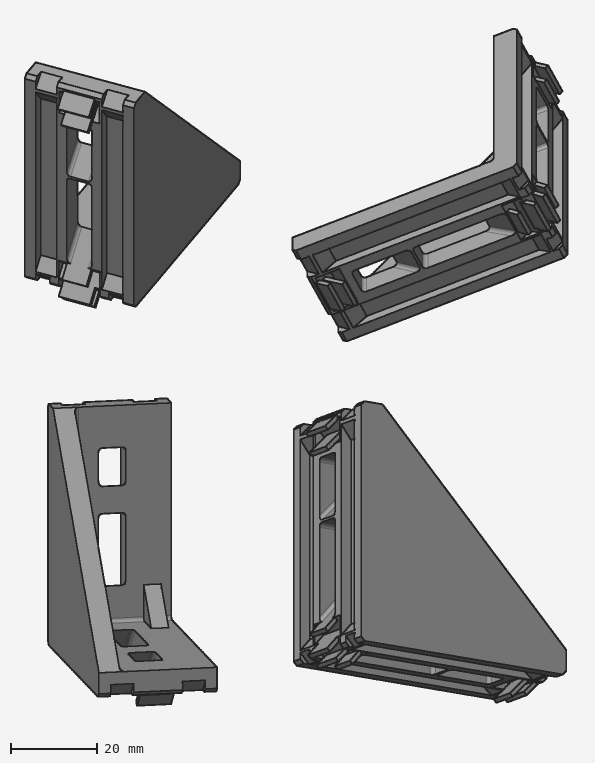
import math

import cadquery as cq

width = 28.0
leg = 57.35
wall = 5.95
rib_thickness = 5.0
corner_radius = 0.95
edge_chamfer = 0.95

gusset_leg = 8.5
gusset_width = 4.1
gusset_x = -9.5

slot_width = 6.5
slot_radius = 0.95
far_slot_start = leg - 10.0
far_slot_end = leg - 19.05
far_slope = 1.0
near_slot_start = leg - 25.6
near_slot_end = leg - 42.75
near_slope = 1.12

groove_x = 8.5
groove_width = 5.4
groove_depth = 2.7
groove_start = 3.0
groove_start_run = 3.0
groove_end = leg - 3.9
groove_end_run = 3.45

free_notch = 3.0
corner_notch = 2.45
corner_notch_width = 3.6
corner_notch_x = groove_x + (groove_width - corner_notch_width) / 2

far_pocket_width = 10.2
far_pocket_top = leg - 1.82
far_pocket_depth = 3.04
far_pocket_bottom = far_pocket_top - 2 * far_pocket_depth
near_pocket_width = 10.6
near_pocket_top = 7.9
near_pocket_drop = 2.18
near_pocket_depth = near_pocket_drop * near_slope
near_pocket_bottom = near_pocket_top - near_pocket_drop - near_pocket_depth * near_slope
corner_cut = 3.0

tab_thickness = 1.1
wide_tab_width = 8.0
medium_tab_width = 6.8
narrow_tab_width = 6.2
short_tab_length = 4.5
medium_tab_length = 5.0
long_tab_length = 7.4
tab_reach = 2.75
end_tab_reach = 3.33
end_tab_level = leg - 1.07

wall_end_tip = (-end_tab_reach, end_tab_level - end_tab_reach)
diagonal_thickness = tab_thickness * math.sqrt(2)
wall_inner_tip = (-tab_reach, far_pocket_bottom + diagonal_thickness - tab_reach)
wall_near_tip = (-tab_reach, near_slot_end - near_slope * (wall + tab_reach))
wall_corner_tip = (-tab_reach, near_pocket_bottom - near_slope * tab_reach)

foot_corner_tip = (-0.4, -2.1)
foot_near_tip = (4.19, -1.91)
foot_inner_tip = (48.75, -3.28)
foot_end_tip = (52.2, -2.55)

slot_overshoot = 5.0


def prism(points, x_middle, x_width):
    """Solid with the (Y, Z) outline `points`, centred on x_middle."""
    start = x_middle - x_width / 2
    return cq.Workplane("YZ").workplane(offset=start).polyline(points).close().extrude(x_width)


def mirrored(solid):
    """Mirror a solid that is symmetric about X = 0 in the plane Y = Z."""
    return solid.rotate((0, 0, 0), (0, 1, 1), 180)


def cut_both_faces(body, cutter):
    """Cut the wall with a cutter that is symmetric in X, and the foot with its mirror image."""
    return body.cut(cutter).cut(mirrored(cutter))


def pair(points, x_distance, x_width):
    """Two equal prisms, one on each side of X = 0."""
    return prism(points, -x_distance, x_width).union(prism(points, x_distance, x_width))


def corner_triangle(size):
    """Outline that slices off the outer corner at 45 degrees."""
    return [(0, 0), (size, 0), (0, size)]


def make_body():
    """Wall, foot and rib: a five-sided block hollowed out from the open side."""
    outline = [
        (edge_chamfer, 0),
        (leg - edge_chamfer, 0),
        (leg, edge_chamfer),
        (leg, wall),
        (wall, leg),
        (edge_chamfer, leg),
        (0, leg - edge_chamfer),
        (0, edge_chamfer),
    ]
    cavity = cq.Workplane("XY").box(width, leg, leg, centered=False)
    cavity = cavity.edges("(<Y and <Z) or (>X and <Y) or (>X and <Z)").fillet(corner_radius)
    rib_face = width / 2 - rib_thickness
    return prism(outline, 0, width).cut(cavity.translate((rib_face - width, wall, wall)))


def make_gusset():
    """Triangular web; its root runs into the legs so that it fills the rounded corner."""
    root = wall - corner_radius
    tip = wall + gusset_leg
    outline = [(root, root), (tip, root), (tip, wall), (wall, tip), (root, tip)]
    return prism(outline, gusset_x, gusset_width)


def make_slot(start, end, slope):
    """Cutter for a slot through the wall, rounded along its four edges."""
    outline = [
        (-slot_overshoot, start),
        (wall + slot_overshoot, start),
        (wall + slot_overshoot, end + slope * slot_overshoot),
        (-slot_overshoot, end - slope * (wall + slot_overshoot)),
    ]
    return prism(outline, 0, slot_width).faces(">Z or <Z").edges("not |X").fillet(slot_radius)


def cut_slots(body):
    body = cut_both_faces(body, make_slot(far_slot_start, far_slot_end, far_slope))
    return cut_both_faces(body, make_slot(near_slot_start, near_slot_end, near_slope))


def cut_grooves(body):
    outline = [
        (0, groove_start),
        (groove_depth, groove_start + groove_start_run),
        (groove_depth, groove_end - groove_end_run),
        (0, groove_end),
    ]
    return cut_both_faces(body, pair(outline, groove_x, groove_width))


def cut_notches(body):
    free_end = [(0, leg - free_notch), (free_notch, leg), (0, leg)]
    body = cut_both_faces(body, pair(free_end, groove_x, groove_width))
    return body.cut(pair(corner_triangle(corner_notch), corner_notch_x, corner_notch_width))


def cut_pockets(body):
    far_outline = [
        (0, far_pocket_top),
        (far_pocket_depth, far_pocket_top - far_pocket_depth),
        (0, far_pocket_bottom),
    ]
    near_outline = [
        (0, near_pocket_top),
        (near_pocket_depth, near_pocket_top - near_pocket_drop),
        (0, near_pocket_bottom),
    ]
    body = cut_both_faces(body, prism(far_outline, 0, far_pocket_width))
    body = cut_both_faces(body, prism(near_outline, 0, near_pocket_width))
    return body.cut(prism(corner_triangle(corner_cut), 0, near_pocket_width))


def make_tab(tip, length, tab_width, slope):
    """Flat tab whose upper tip corner is at (Y, Z) = tip and whose root is inside the body."""
    angle = math.atan(slope)
    root_y = length * math.cos(angle)
    root_z = length * math.sin(angle)
    tip_y, tip_z = tip
    lower_y = tip_y + tab_thickness * math.sin(angle)
    lower_z = tip_z - tab_thickness * math.cos(angle)
    outline = [
        (tip_y, tip_z),
        (tip_y + root_y, tip_z + root_z),
        (lower_y + root_y, lower_z + root_z),
        (lower_y, lower_z),
    ]
    return prism(outline, 0, tab_width)


def add_tabs(body):
    tabs = [
        (wall_end_tip, short_tab_length, wide_tab_width, far_slope),
        (wall_inner_tip, long_tab_length, medium_tab_width, far_slope),
        (wall_near_tip, medium_tab_length, narrow_tab_width, near_slope),
        (wall_corner_tip, medium_tab_length, wide_tab_width, near_slope),
        (foot_corner_tip, medium_tab_length, wide_tab_width, far_slope),
        (foot_near_tip, medium_tab_length, narrow_tab_width, near_slope),
        (foot_inner_tip, long_tab_length, medium_tab_width, far_slope),
        (foot_end_tip, short_tab_length, wide_tab_width, far_slope),
    ]
    for tip, length, tab_width, slope in tabs:
        body = body.union(make_tab(tip, length, tab_width, slope))
    return body


body = make_body().union(make_gusset())
body = cut_grooves(body)
body = cut_notches(body)
body = cut_pockets(body)
body = cut_slots(body)
result = add_tabs(body)